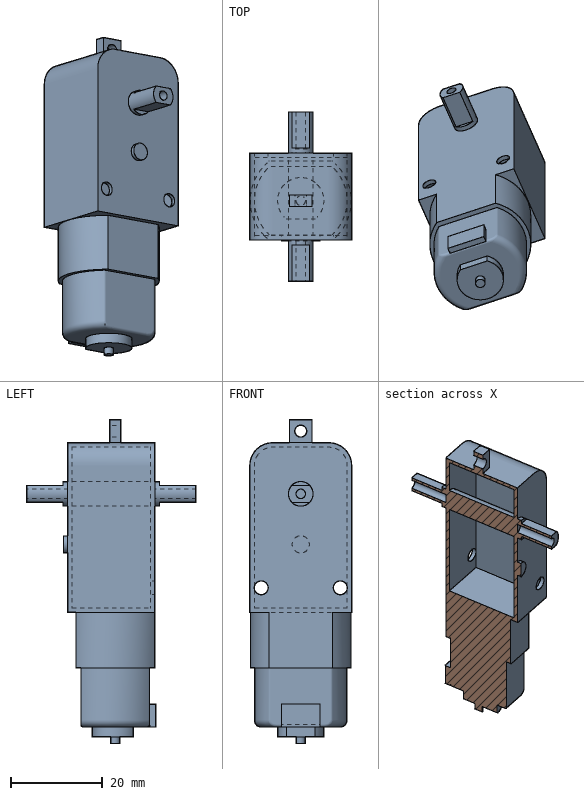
import cadquery as cq


CASE_WIDTH = 22.3
CASE_DEPTH = 19.05
CASE_TOP = 11.2
CASE_BOTTOM = -25.9
CASE_CORNER_RADIUS = 5.0
CASE_WALL = 1.0
CASE_FRONT = -CASE_DEPTH / 2

MOUNT_HOLE_DIAMETER = 3.0
MOUNT_HOLE_SPACING = 17.3
MOUNT_HOLE_Z = -20.5

TAB_WIDTH = 4.95
TAB_THICKNESS = 2.5
TAB_HEIGHT = 5.0
TAB_HOLE_DIAMETER = 2.55

AXLE_LENGTH = 37.0
AXLE_DIAMETER = 5.4
AXLE_FLAT_THICKNESS = 3.7
AXLE_SHOULDER_LENGTH = 1.05
AXLE_BORE_DIAMETER = 2.05
AXLE_BORE_DEPTH = (AXLE_LENGTH - CASE_DEPTH) / 2

PEG_DIAMETER = 3.75
PEG_LENGTH = 0.9
PEG_Z = -11.05

COLLAR_DIAMETER = 22.1
COLLAR_THICKNESS = 17.3
COLLAR_LENGTH = 12.1
COLLAR_BOTTOM = CASE_BOTTOM - COLLAR_LENGTH

MOTOR_Y = CASE_FRONT + COLLAR_THICKNESS / 2

CAN_DIAMETER = 20.25
CAN_THICKNESS = 15.0
CAN_LENGTH = 12.95
CAN_END_RADIUS = 1.5
CAN_FLAT_EDGE_RADIUS = 0.6
CAN_BOTTOM = COLLAR_BOTTOM - CAN_LENGTH

BOSS_DIAMETER = 10.1
BOSS_FLAT_OFFSET = 4.0
BOSS_LENGTH = 2.1
MOTOR_SHAFT_DIAMETER = 2.05
MOTOR_SHAFT_LENGTH = 1.5
BOSS_BOTTOM = CAN_BOTTOM - BOSS_LENGTH
SHAFT_BOTTOM = BOSS_BOTTOM - MOTOR_SHAFT_LENGTH

TERMINAL_WIDTH = 8.4
TERMINAL_HEIGHT = 5.0
TERMINAL_THICKNESS = 1.35


def block(width, depth, height, y_min, z_min):
    """Box centred on X = 0 that starts at y_min and z_min."""
    base = cq.Workplane("XY", origin=(0, y_min, z_min))
    return base.box(width, depth, height, centered=(True, False, False))


def rod_along_y(diameter, length, y_min, x=0, z=0):
    """Cylinder along +Y that starts at y_min."""
    base = cq.Plane(origin=(x, y_min, z), xDir=(1, 0, 0), normal=(0, 1, 0))
    return cq.Workplane(base).circle(diameter / 2).extrude(length)


def motor_rod(diameter, z_min, length):
    """Cylinder along Z on the motor axis."""
    return cq.Workplane("XY", origin=(0, MOTOR_Y, z_min)).circle(diameter / 2).extrude(length)


def double_flat_rod(rod, diameter, thickness, z_min, length):
    """Trim a rod on the motor axis to two flats facing -Y and +Y."""
    return rod.intersect(block(diameter, thickness, length, MOTOR_Y - thickness / 2, z_min))


def make_case():
    """Hollow case, closed on every side, with mounting holes through its front and back walls."""
    case = block(CASE_WIDTH, CASE_DEPTH, CASE_TOP - CASE_BOTTOM, CASE_FRONT, CASE_BOTTOM)
    case = case.edges("|Y and >Z").fillet(CASE_CORNER_RADIUS)
    cavity_height = CASE_TOP - CASE_BOTTOM - 2 * CASE_WALL
    cavity = block(
        CASE_WIDTH - 2 * CASE_WALL,
        CASE_DEPTH - 2 * CASE_WALL,
        cavity_height,
        CASE_FRONT + CASE_WALL,
        CASE_BOTTOM + CASE_WALL,
    )
    case = case.cut(cavity.edges("|Y and >Z").fillet(CASE_CORNER_RADIUS - CASE_WALL))
    for side in (-1, 1):
        hole_x = side * MOUNT_HOLE_SPACING / 2
        case = case.cut(rod_along_y(MOUNT_HOLE_DIAMETER, CASE_DEPTH, CASE_FRONT, hole_x, MOUNT_HOLE_Z))
    return case


def make_tab():
    tab_front = MOTOR_Y - TAB_THICKNESS / 2
    tab = block(TAB_WIDTH, TAB_THICKNESS, TAB_HEIGHT, tab_front, CASE_TOP)
    hole_z = CASE_TOP + TAB_HEIGHT / 2
    return tab.cut(rod_along_y(TAB_HOLE_DIAMETER, TAB_THICKNESS, tab_front, z=hole_z))


def make_axle():
    """Axle with a round middle, flats above and below on both ends, and no bores."""
    axle_front = -AXLE_LENGTH / 2
    axle = rod_along_y(AXLE_DIAMETER, AXLE_LENGTH, axle_front)
    round_length = CASE_DEPTH + 2 * AXLE_SHOULDER_LENGTH
    flat_bar = block(AXLE_DIAMETER, AXLE_LENGTH, AXLE_FLAT_THICKNESS, axle_front, -AXLE_FLAT_THICKNESS / 2)
    round_middle = rod_along_y(AXLE_DIAMETER, round_length, -round_length / 2)
    return axle.intersect(flat_bar).union(round_middle)


def make_collar():
    rod = motor_rod(COLLAR_DIAMETER, COLLAR_BOTTOM, COLLAR_LENGTH)
    return double_flat_rod(rod, COLLAR_DIAMETER, COLLAR_THICKNESS, COLLAR_BOTTOM, COLLAR_LENGTH)


def make_can():
    """Round-ended can with two flats whose side and bottom edges are softened."""
    rod = motor_rod(CAN_DIAMETER, CAN_BOTTOM, CAN_LENGTH).faces("<Z").edges().fillet(CAN_END_RADIUS)
    can = double_flat_rod(rod, CAN_DIAMETER, CAN_THICKNESS, CAN_BOTTOM, CAN_LENGTH)
    flat_edges = can.faces("<Y or >Y").edges("not >Z")
    return flat_edges.fillet(CAN_FLAT_EDGE_RADIUS)


def make_boss():
    """Bearing boss with a single flat facing -Y."""
    boss = motor_rod(BOSS_DIAMETER, BOSS_BOTTOM, BOSS_LENGTH)
    kept_depth = BOSS_FLAT_OFFSET + BOSS_DIAMETER / 2
    kept = block(BOSS_DIAMETER, kept_depth, BOSS_LENGTH, MOTOR_Y - BOSS_FLAT_OFFSET, BOSS_BOTTOM)
    return boss.intersect(kept)


def make_terminal():
    """Terminal block standing on the front flat, level with the bottom of the can."""
    terminal_front = MOTOR_Y - CAN_THICKNESS / 2 - TERMINAL_THICKNESS
    return block(TERMINAL_WIDTH, TERMINAL_THICKNESS, TERMINAL_HEIGHT, terminal_front, CAN_BOTTOM)


result = make_case()
result = result.union(make_tab())
result = result.union(make_axle())
result = result.union(rod_along_y(PEG_DIAMETER, PEG_LENGTH, CASE_DEPTH / 2, z=PEG_Z))
result = result.union(make_collar())
result = result.union(make_can())
result = result.union(make_terminal())
result = result.union(make_boss())
result = result.union(motor_rod(MOTOR_SHAFT_DIAMETER, SHAFT_BOTTOM, MOTOR_SHAFT_LENGTH))

for bore_start in (-AXLE_LENGTH / 2, AXLE_LENGTH / 2 - AXLE_BORE_DEPTH):
    result = result.cut(rod_along_y(AXLE_BORE_DIAMETER, AXLE_BORE_DEPTH, bore_start))